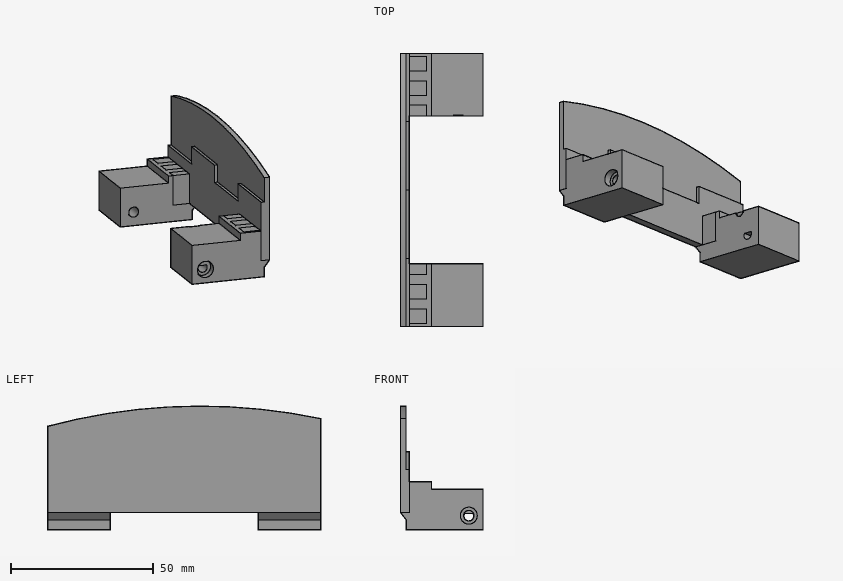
import cadquery as cq

depth = 29.0
width = 96
height = 43.5

plate_thickness = 2.0
panel_thickness = 3.2
panel_bottom = 6.0
front_end_height = 39.1
rear_end_height = 36.4
arc_peak_y = -5.6
backing_low_height = 21.1
backing_high_height = 27.5
backing_segments = 4

block_width = 22.1
block_top = 14.3
ledge_top = 16.9
ledge_end = 10.9
lip_base = 3.5

tooth_end = 9.2
tooth_width = 5.1
tooth_pitch = 8.5
first_tooth_inset = 1.2
teeth_per_block = 3

hole_edge_distance = 5.0
hole_x = depth - hole_edge_distance
hole_z = hole_edge_distance
bore_diameter = 3.6
counterbore_diameter = 6.0
counterbore_depth = 2.9

rear_bore_diameter = 3.4
rear_bore_z = 4.8
rear_flat_z = 5.7

trough_x = 20.3
trough_diameter = 3.3
trough_length = 0.5

half_width = width / 2
block_inner_y = half_width - block_width


def box(x_start, x_end, y_start, y_end, z_start, z_end):
    """Box between two limits on each axis."""
    size = (x_end - x_start, y_end - y_start, z_end - z_start)
    return cq.Workplane("XY").box(*size, centered=False).translate((x_start, y_start, z_start))


def cylinder_along_y(diameter, x, z, y_start, y_end):
    """Cylinder parallel to Y between two Y positions."""
    centre = cq.Workplane("XZ", origin=(x, y_start, z))
    return centre.circle(diameter / 2).extrude(y_start - y_end)


def make_teeth(side):
    """Teeth inside one block; side is -1 for the front block and 1 for the rear one."""
    teeth = cq.Workplane("XY")
    for index in range(teeth_per_block):
        outer_y = half_width - first_tooth_inset - index * tooth_pitch
        inner_y = max(outer_y - tooth_width, block_inner_y)
        y_start, y_end = sorted((side * inner_y, side * outer_y))
        teeth = teeth.add(box(panel_thickness, tooth_end, y_start, y_end, panel_bottom, ledge_top))
    return teeth


def make_plate():
    """Plate whose top edge is one arc over the full width."""
    return (
        cq.Workplane("YZ")
        .moveTo(-half_width, panel_bottom)
        .lineTo(-half_width, front_end_height)
        .threePointArc((arc_peak_y, height), (half_width, rear_end_height))
        .lineTo(half_width, panel_bottom)
        .close()
        .extrude(plate_thickness)
    )


def make_panel():
    """Plate, backing layer of alternating height, and the teeth at both ends."""
    panel = make_plate()
    segment_width = width / backing_segments
    for index in range(backing_segments):
        y_start = index * segment_width - half_width
        top = backing_low_height if index % 2 == 0 else backing_high_height
        segment = box(plate_thickness, panel_thickness, y_start, y_start + segment_width, panel_bottom, top)
        panel = panel.union(segment)
    for side in (-1, 1):
        for tooth in make_teeth(side).vals():
            panel = panel.union(cq.Workplane(tooth))
    return panel


def make_block(side):
    """Block with a sloped lip under the panel, a ledge behind it and tooth sockets."""
    y_start = min(side * block_inner_y, side * half_width)
    block = (
        cq.Workplane("XZ", origin=(0, y_start, 0))
        .moveTo(plate_thickness, 0)
        .lineTo(depth, 0)
        .lineTo(depth, block_top)
        .lineTo(ledge_end, block_top)
        .lineTo(ledge_end, ledge_top)
        .lineTo(panel_thickness, ledge_top)
        .lineTo(panel_thickness, panel_bottom)
        .lineTo(0, panel_bottom)
        .lineTo(plate_thickness, lip_base)
        .close()
        .extrude(-block_width)
    )
    for tooth in make_teeth(side).vals():
        block = block.cut(cq.Workplane(tooth))

    return block


def make_counterbore(side):
    """Counterbore sunk into the outer end face of one block."""
    outer_y = side * half_width
    shoulder_y = outer_y - side * counterbore_depth
    y_start, y_end = sorted((outer_y, shoulder_y))
    return cylinder_along_y(counterbore_diameter, hole_x, hole_z, y_start, y_end)


def make_front_block():
    """Block at -Y with a round bore."""
    bore = cylinder_along_y(bore_diameter, hole_x, hole_z, -half_width, -block_inner_y)
    return make_block(-1).cut(bore).cut(make_counterbore(-1))


def make_rear_block():
    """Block at +Y with a flat-topped bore and a small trough on its top inner edge."""
    bore = cylinder_along_y(rear_bore_diameter, hole_x, rear_bore_z, block_inner_y, half_width)
    bore = bore.intersect(box(0, depth, block_inner_y, half_width, 0, rear_flat_z))
    trough_end = block_inner_y + trough_length
    trough = cylinder_along_y(trough_diameter, trough_x, block_top, block_inner_y, trough_end)
    return make_block(1).cut(bore).cut(make_counterbore(1)).cut(trough)


panel = make_panel()
front_block = make_front_block()
rear_block = make_rear_block()

result = cq.Compound.makeCompound([panel.val(), front_block.val(), rear_block.val()])